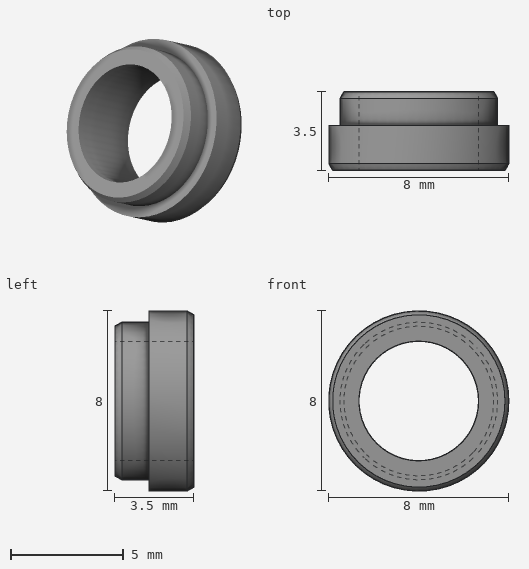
import cadquery as cq
import math

head_diameter = 8.0
neck_diameter = 7.0
bore_diameter = 5.3
total_length = 3.5
head_length = 2.0
chamfer_length = 0.3
chamfer_angle = 30.0

head_radius = head_diameter / 2
neck_radius = neck_diameter / 2
bore_radius = bore_diameter / 2
chamfer_depth = chamfer_length * math.tan(math.radians(chamfer_angle))

half_section = (
    cq.Workplane("XY")
    .moveTo(bore_radius, 0)
    .lineTo(head_radius - chamfer_depth, 0)
    .lineTo(head_radius, chamfer_length)
    .lineTo(head_radius, head_length)
    .lineTo(neck_radius, head_length)
    .lineTo(neck_radius, total_length - chamfer_length)
    .lineTo(neck_radius - chamfer_depth, total_length)
    .lineTo(bore_radius, total_length)
    .close()
)

result = half_section.revolve(360, (0, 0, 0), (0, 1, 0))